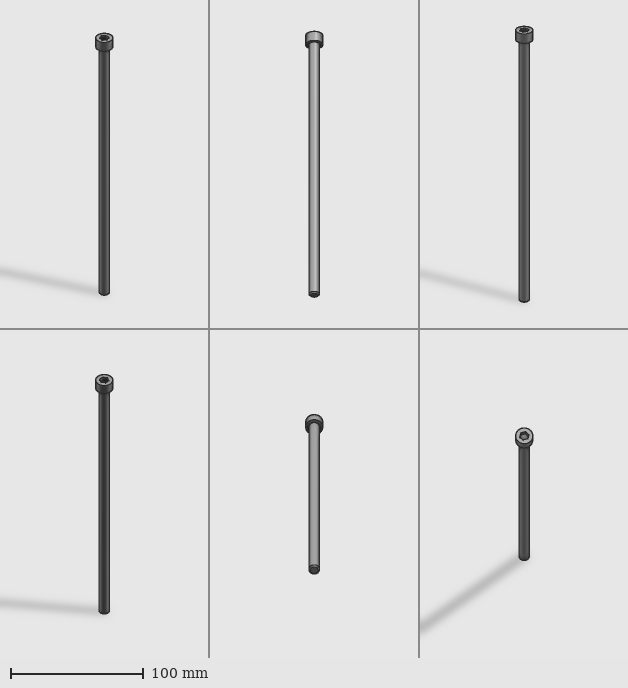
import cadquery as cq
import math

total_length = 228.0
head_diameter = 13.0
head_height = 8.0
shank_diameter = 8.0
thread_length = 28.0
tip_chamfer = 1.1
socket_across_flats = 6.2
socket_depth = 4.0

head_bottom = total_length - head_height
socket_across_corners = socket_across_flats / math.cos(math.pi / 6)


def cylinder(diameter, bottom, height):
    """Round bar on the Z axis, starting at the given height."""
    return cq.Workplane("XY", origin=(0, 0, bottom)).circle(diameter / 2).extrude(height)


threaded_end = cylinder(shank_diameter, 0, thread_length).faces("<Z").chamfer(tip_chamfer)

plain_shank = cylinder(shank_diameter, thread_length, head_bottom - thread_length)
head = cylinder(head_diameter, head_bottom, head_height)

socket = (
    cq.Workplane("XY", origin=(0, 0, total_length))
    .polygon(6, socket_across_corners)
    .extrude(-socket_depth)
)

result = threaded_end.union(plain_shank).union(head).cut(socket)